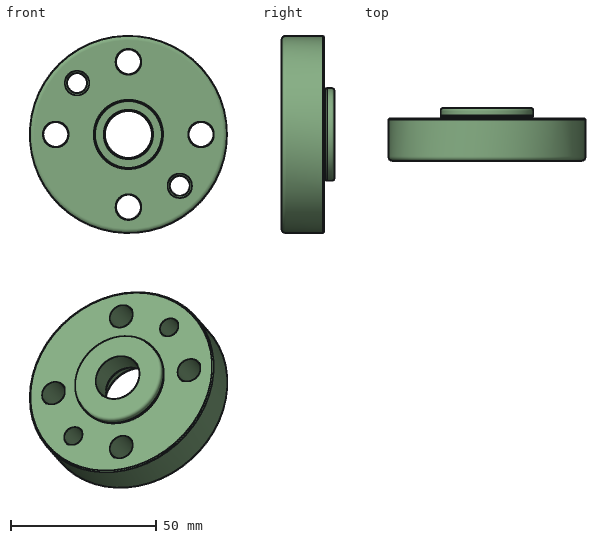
import cadquery as cq
import math

disc_diameter = 68
disc_thickness = 14.75
front_round = 1.5
back_chamfer = 0.5

overall_depth = 18.3
spigot_diameter = 32.0
spigot_round = 1.0
undercut_depth = 0.2
undercut_width = 1.0
undercut_slope_width = 0.6

bore_diameter = 16.1
bore_chamfer = 0.5
counterbore_diameter = 23.0
counterbore_depth = 8.0
counterbore_chamfer = 0.5
counterbore_floor_round = 0.5

hole_circle_radius = 25.0
bolt_hole_diameter = 8.5
bolt_hole_chamfer = 0.2
pin_hole_diameter = 6.8
pin_hole_chamfer = 0.8
bolt_hole_angles = (0, 90, 180, 270)
pin_hole_angles = (135, 315)


def cylinder(diameter, start, end):
    """Cylinder about the Y axis between two Y positions."""
    return cq.Workplane("XZ", origin=(0, start, 0)).circle(diameter / 2).extrude(start - end)


def countersink(diameter, size, start):
    """45 degree cone that breaks the edge of a hole opening toward -Y."""
    large_radius = diameter / 2 + size
    small_radius = diameter / 2
    cone = cq.Solid.makeCone(
        large_radius, small_radius, size, cq.Vector(0, start, 0), cq.Vector(0, 1, 0)
    )
    return cq.Workplane(obj=cone)


def chamfered_hole(diameter, chamfer, angle):
    """Through hole on the hole circle, chamfered at the front face."""
    x = hole_circle_radius * math.cos(math.radians(angle))
    z = hole_circle_radius * math.sin(math.radians(angle))
    hole = cylinder(diameter, 0, overall_depth).union(countersink(diameter, chamfer, 0))
    return hole.translate((x, 0, z))


disc = cylinder(disc_diameter, 0, disc_thickness)
disc = disc.faces("<Y").edges().fillet(front_round)
disc = disc.faces(">Y").edges().chamfer(back_chamfer)

spigot_radius = spigot_diameter / 2
neck_radius = spigot_radius - undercut_depth
undercut_end = disc_thickness + undercut_width
spigot = (
    cq.Workplane("XY")
    .moveTo(0, 0)
    .lineTo(neck_radius, 0)
    .lineTo(neck_radius, undercut_end - undercut_slope_width)
    .lineTo(spigot_radius, undercut_end)
    .lineTo(spigot_radius, overall_depth)
    .lineTo(0, overall_depth)
    .close()
    .revolve(360, (0, 0, 0), (0, 1, 0))
)
spigot = spigot.faces(">Y").edges().fillet(spigot_round)
body = disc.union(spigot)

counterbore = cylinder(counterbore_diameter, 0, counterbore_depth)
counterbore = counterbore.faces(">Y").edges().fillet(counterbore_floor_round)
body = body.cut(counterbore)
body = body.cut(countersink(counterbore_diameter, counterbore_chamfer, 0))
body = body.cut(cylinder(bore_diameter, 0, overall_depth))
body = body.cut(countersink(bore_diameter, bore_chamfer, counterbore_depth))

for hole_angle in bolt_hole_angles:
    body = body.cut(chamfered_hole(bolt_hole_diameter, bolt_hole_chamfer, hole_angle))
for hole_angle in pin_hole_angles:
    body = body.cut(chamfered_hole(pin_hole_diameter, pin_hole_chamfer, hole_angle))

result = body